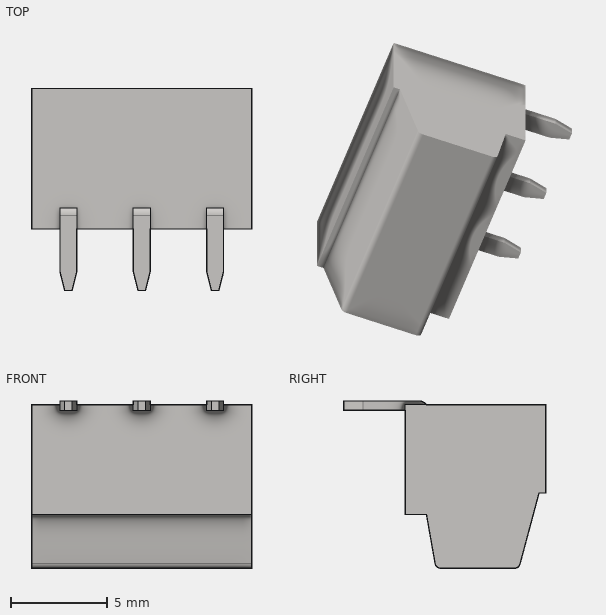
import cadquery as cq
import math

HOUSING_WIDTH = 11.43
HOUSING_DEPTH = 7.3
HOUSING_HEIGHT = 8.5
FRONT_FACE_HEIGHT = 5.72
REAR_FACE_HEIGHT = 4.61
FRONT_LEDGE = 1.1
REAR_LEDGE = 0.35
FRONT_DRAFT = 10.0
REAR_DRAFT = 15.0
BOTTOM_FILLET = 0.3

PIN_COUNT = 3
PIN_PITCH = HOUSING_WIDTH / PIN_COUNT
PIN_WIDTH = 0.89
PIN_THICKNESS = 0.5
PIN_RISE = 0.2
PIN_OVERHANG = 3.2
PIN_TIP_WIDTH = 0.39
PIN_TAPER_LENGTH = 1.0
PIN_BEND_START = 0.7
PIN_BEND_RADIUS = PIN_THICKNESS


def make_housing():
    front_run = (HOUSING_HEIGHT - FRONT_FACE_HEIGHT) * math.tan(math.radians(FRONT_DRAFT))
    rear_run = (HOUSING_HEIGHT - REAR_FACE_HEIGHT) * math.tan(math.radians(REAR_DRAFT))
    rear_shoulder = HOUSING_DEPTH - REAR_LEDGE
    profile = [
        (0, 0),
        (HOUSING_DEPTH, 0),
        (HOUSING_DEPTH, -REAR_FACE_HEIGHT),
        (rear_shoulder, -REAR_FACE_HEIGHT),
        (rear_shoulder - rear_run, -HOUSING_HEIGHT),
        (FRONT_LEDGE + front_run, -HOUSING_HEIGHT),
        (FRONT_LEDGE, -FRONT_FACE_HEIGHT),
        (0, -FRONT_FACE_HEIGHT),
    ]
    housing = cq.Workplane("YZ").polyline(profile).close().extrude(HOUSING_WIDTH / 2, both=True)
    return housing.faces("<Z").edges("|X").fillet(BOTTOM_FILLET)


def make_pin():
    """Pin centred on X = 0: a strip with a tapered tip and a rounded bend at its rear."""
    tip = -PIN_OVERHANG
    rear = PIN_BEND_START + PIN_BEND_RADIUS
    half_width = PIN_WIDTH / 2
    half_tip = PIN_TIP_WIDTH / 2
    outline = [
        (-half_tip, tip),
        (half_tip, tip),
        (half_width, tip + PIN_TAPER_LENGTH),
        (half_width, rear),
        (-half_width, rear),
        (-half_width, tip + PIN_TAPER_LENGTH),
    ]
    underside = PIN_RISE - PIN_THICKNESS
    strip = cq.Workplane("XY", origin=(0, 0, underside)).polyline(outline).close().extrude(PIN_THICKNESS)

    bend_sine = PIN_BEND_RADIUS * math.sin(math.pi / 4)
    bend_centre_z = PIN_RISE - PIN_BEND_RADIUS
    side_profile = (
        cq.Workplane("YZ")
        .moveTo(tip, underside)
        .lineTo(tip, PIN_RISE)
        .lineTo(PIN_BEND_START, PIN_RISE)
        .threePointArc((PIN_BEND_START + bend_sine, bend_centre_z + bend_sine), (rear, bend_centre_z))
        .close()
        .extrude(half_width, both=True)
    )
    return strip.intersect(side_profile)


result = make_housing()
pin = make_pin()
for index in range(PIN_COUNT):
    pin_x = (index - (PIN_COUNT - 1) / 2) * PIN_PITCH
    result = result.union(pin.translate((pin_x, 0, 0)))